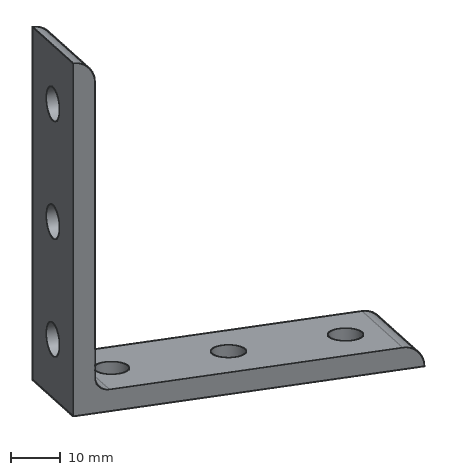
import cadquery as cq

leg_length = 76.2
width = 22.25
thickness = 4.7
tip_radius = thickness
root_radius = 3.1
hole_diameter = 7.2
hole_pitch = leg_length / 3
hole_offsets = [leg_length / 2 + step * hole_pitch for step in (-1, 0, 1)]


def make_angle():
    """L section in the YZ plane, extruded along X and centred on X = 0."""
    body = (
        cq.Workplane("YZ")
        .moveTo(0, 0)
        .lineTo(leg_length, 0)
        .radiusArc((leg_length - tip_radius, thickness), -tip_radius)
        .lineTo(thickness + root_radius, thickness)
        .radiusArc((thickness, thickness + root_radius), root_radius)
        .lineTo(thickness, leg_length - tip_radius)
        .radiusArc((0, leg_length), -tip_radius)
        .close()
        .extrude(width / 2, both=True)
    )
    return body


def make_leg_holes():
    """Cylinders through both legs, on the bracket's centre plane."""
    hole_radius = hole_diameter / 2
    upright = cq.Workplane("XZ").pushPoints([(0, z) for z in hole_offsets])
    base = cq.Workplane("XY").pushPoints([(0, y) for y in hole_offsets])
    upright_holes = upright.circle(hole_radius).extrude(-thickness)
    base_holes = base.circle(hole_radius).extrude(thickness)
    return upright_holes.union(base_holes)


result = make_angle().cut(make_leg_holes())